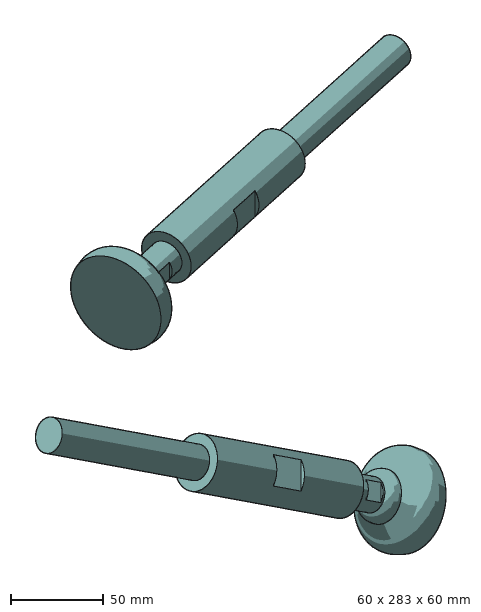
import cadquery as cq

TOTAL_LENGTH = 283.0

ROD_RADIUS = 20.0 / 2
ROD_FLATS_START = 29.7
ROD_FLATS_LENGTH = 11.5
ROD_ACROSS_FLATS = 16.7

FOOT_RADIUS = 60.0 / 2
FOOT_FACE_RADIUS = 29.1
RIM_HEIGHT = 6.2
SHOULDER_START = 8.8
SHOULDER_START_RADIUS = 29.7
SHOULDER_MID_HEIGHT = 12.7
SHOULDER_MID_RADIUS = 28.0
SHOULDER_END = 15.5
SHOULDER_END_RADIUS = 23.5

COLLAR_RADIUS = 15.3
COLLAR_START = 20.7
COLLAR_ROUND_START = 22.4
COLLAR_SIDE_MID_HEIGHT = 23.8
COLLAR_SIDE_MID_RADIUS = 15.0
COLLAR_CROWN_START = 25.2
COLLAR_CROWN_START_RADIUS = 14.5
COLLAR_CROWN_MID_HEIGHT = 27.2
COLLAR_CROWN_MID_RADIUS = 12.7
COLLAR_END = 28.3

SLEEVE_RADIUS = 32.0 / 2
SLEEVE_START = 51.2
SLEEVE_LENGTH = 115.5
SLEEVE_FLATS_LENGTH = 21.8
SLEEVE_ACROSS_FLATS = 27.0


def cylinder_y(radius, start, length):
    """Cylinder on the Y axis, running from y = start towards +Y."""
    return cq.Workplane("XZ", origin=(0, start, 0)).circle(radius).extrude(-length)


def cut_flats(body, radius, across_flats, start, length):
    """Cut two opposite wrench flats that face -X and +X."""
    diameter = 2 * radius
    for side in (-1, 1):
        cutter = cq.Workplane("XY").box(radius, length, diameter)
        offset = side * (across_flats + radius) / 2
        body = body.cut(cutter.translate((offset, start + length / 2, 0)))
    return body


def make_foot():
    """Revolved foot with a tapered rim, domed shoulder and rounded collar."""
    return (
        cq.Workplane("XY")
        .lineTo(FOOT_FACE_RADIUS, 0)
        .lineTo(FOOT_RADIUS, RIM_HEIGHT)
        .lineTo(SHOULDER_START_RADIUS, SHOULDER_START)
        .threePointArc(
            (SHOULDER_MID_RADIUS, SHOULDER_MID_HEIGHT),
            (SHOULDER_END_RADIUS, SHOULDER_END),
        )
        .lineTo(COLLAR_RADIUS, COLLAR_START)
        .lineTo(COLLAR_RADIUS, COLLAR_ROUND_START)
        .threePointArc(
            (COLLAR_SIDE_MID_RADIUS, COLLAR_SIDE_MID_HEIGHT),
            (COLLAR_CROWN_START_RADIUS, COLLAR_CROWN_START),
        )
        .threePointArc(
            (COLLAR_CROWN_MID_RADIUS, COLLAR_CROWN_MID_HEIGHT),
            (ROD_RADIUS, COLLAR_END),
        )
        .lineTo(0, COLLAR_END)
        .close()
        .revolve(360, (0, 0, 0), (0, 1, 0))
    )


def make_spindle():
    """Foot and rod in one piece, with wrench flats just above the collar."""
    rod = cylinder_y(ROD_RADIUS, COLLAR_END, TOTAL_LENGTH - COLLAR_END)
    rod = cut_flats(rod, ROD_RADIUS, ROD_ACROSS_FLATS, ROD_FLATS_START, ROD_FLATS_LENGTH)
    return make_foot().union(rod)


def make_sleeve():
    """Sleeve around the rod, with wrench flats halfway along it."""
    sleeve = cylinder_y(SLEEVE_RADIUS, SLEEVE_START, SLEEVE_LENGTH)
    bore = cylinder_y(ROD_RADIUS, SLEEVE_START, SLEEVE_LENGTH)
    flats_start = SLEEVE_START + (SLEEVE_LENGTH - SLEEVE_FLATS_LENGTH) / 2
    return cut_flats(
        sleeve.cut(bore), SLEEVE_RADIUS, SLEEVE_ACROSS_FLATS, flats_start, SLEEVE_FLATS_LENGTH
    )


spindle = make_spindle()
sleeve = make_sleeve()

result = cq.Compound.makeCompound([spindle.val(), sleeve.val()])